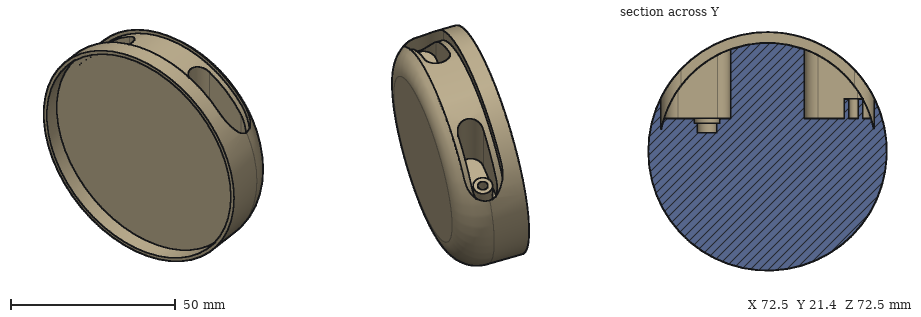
import cadquery as cq

body_radius = 36.25
body_depth = 21.4
edge_radius = 10.0
front_y = -body_depth / 2
back_y = body_depth / 2

rim_wall = 1.2
recess_depth = 5.0

groove_y = back_y - edge_radius
groove_width = 11.95
groove_length = 64.7
groove_depth = 3.25

pocket_length = 20.0
pocket_width = 8.0
pocket_x = 21.25
pocket_floor_z = 10.0

post_x = -26.2
post_radius = 3.0
post_bore_radius = 1.5
post_top_z = 15.95

socket_x = 18.35
socket_radius = 3.0
counterbore_radius = 3.85
counterbore_depth = 1.45
socket_depth = 4.35


def disc(radius, start_y, length):
    """Cylinder about the body axis, running from start_y towards +Y."""
    return cq.Workplane("XZ", origin=(0, start_y, 0)).circle(radius).extrude(-length)


def upright(center_x, bottom_z):
    """Horizontal sketch plane on the groove centre line, for shapes rising along Z."""
    return cq.Workplane("XY", origin=(center_x, groove_y, bottom_z))


def make_body():
    shell = disc(body_radius, front_y, body_depth).faces(">Y").edges().fillet(edge_radius)
    return shell.cut(disc(body_radius - rim_wall, front_y, recess_depth))


def make_groove():
    slot = upright(0, 0).slot2D(groove_length, groove_width).extrude(body_radius)
    return slot.cut(disc(body_radius - groove_depth, front_y, body_depth))


def make_pocket(center_x):
    height = body_radius - pocket_floor_z
    return upright(center_x, pocket_floor_z).slot2D(pocket_length, pocket_width).extrude(height)


def make_post():
    height = post_top_z - pocket_floor_z
    return upright(post_x, pocket_floor_z).circle(post_radius).circle(post_bore_radius).extrude(height)


def make_socket():
    bore = upright(socket_x, pocket_floor_z).circle(socket_radius).extrude(-socket_depth)
    counterbore = upright(socket_x, pocket_floor_z).circle(counterbore_radius).extrude(-counterbore_depth)
    return bore.union(counterbore)


result = make_body().cut(make_groove())
for side in (-1, 1):
    result = result.cut(make_pocket(side * pocket_x))
result = result.union(make_post()).cut(make_socket())